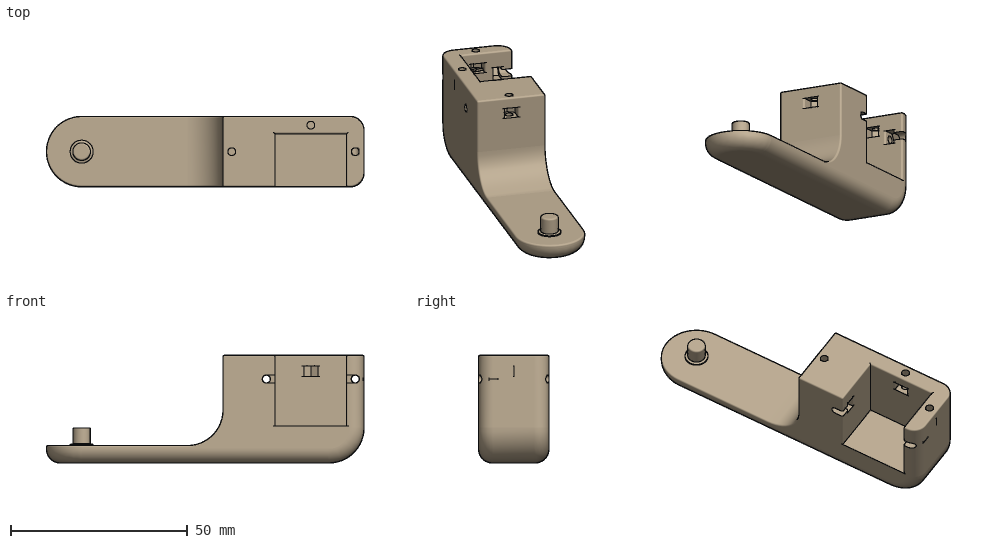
import cadquery as cq
import math

length = 90.0
width = 20.0
height = 30.55
arm_thickness = 5.0
block_start = 50.0
inner_bend_radius = 10.0
outer_bend_radius = 10.0
bottom_round = 4.0
edge_round = 0.5
side = width / 2
end_radius = side

peg_x = end_radius
peg_diameter = 5.0
peg_height = 5.0
collar_diameter = 6.5
collar_height = 0.3
collar_slope_height = 0.2

pocket_start = 64.8
pocket_end = 85.0
pocket_back = 5.0
pocket_depth = 20.05
pocket_length = pocket_end - pocket_start
pocket_middle = (pocket_start + pocket_end) / 2
pocket_floor = height - pocket_depth

screw_diameter = 2.2
screw_offset = 2.5
nut_across_flats = 4.0
nut_cover = 3.0
top_screw_depth = 7.0
top_nut_height = 3.0
top_nut_z = height - nut_cover - top_nut_height / 2
cover_nut_height = 2.5
cover_nut_y = -side + nut_cover + cover_nut_height / 2
cover_screw_drop = 6.75
cover_screw_z = height - cover_screw_drop

tolerance = 0.01


def make_body():
    """Side profile of arm and block, rounded at the arm's end and along the bottom."""
    bend_start = block_start - inner_bend_radius
    bend_top = arm_thickness + inner_bend_radius
    profile = (
        cq.Workplane("XZ")
        .lineTo(length - outer_bend_radius, 0)
        .radiusArc((length, outer_bend_radius), -outer_bend_radius)
        .lineTo(length, height)
        .lineTo(block_start, height)
        .lineTo(block_start, bend_top)
        .radiusArc((bend_start, arm_thickness), inner_bend_radius)
        .lineTo(0, arm_thickness)
        .close()
        .extrude(side, both=True)
    )
    plan = (
        cq.Workplane("XY")
        .moveTo(end_radius, -side)
        .lineTo(length, -side)
        .lineTo(length, side)
        .lineTo(end_radius, side)
        .threePointArc((0, 0), (end_radius, -side))
        .close()
        .extrude(height)
    )
    return profile.intersect(plan).faces("<Z").edges().fillet(bottom_round)


def cut_pocket(body):
    pocket = (
        cq.Workplane("XY")
        .box(pocket_length, pocket_back + side, pocket_depth, centered=False)
        .translate((pocket_start, -side, pocket_floor))
    )
    return body.cut(pocket)


def is_rim_edge(edge):
    """True for the top edges, the arm's upper outline and the pocket's upright front edges."""
    box = edge.BoundingBox()
    if box.zmin > height - tolerance:
        return True
    if box.zmin < arm_thickness - tolerance:
        return False
    if box.xmax < end_radius + tolerance:
        return True
    on_side = abs(edge.Center().y) > side - tolerance
    on_arm_or_bend = box.xmax < block_start + tolerance
    upright = box.xmax - box.xmin < tolerance
    at_pocket_wall = min(abs(box.xmin - pocket_start), abs(box.xmin - pocket_end)) < tolerance
    return on_side and (on_arm_or_bend or (upright and at_pocket_wall))


def round_rim(body):
    rim_edges = [edge for edge in body.edges().vals() if is_rim_edge(edge)]
    return body.newObject(rim_edges).fillet(edge_round)


def add_peg(body):
    """Peg standing on a thin round collar whose top slopes up to the peg."""
    base = cq.Workplane("XY", origin=(peg_x, 0, arm_thickness))
    collar = base.circle(collar_diameter / 2).extrude(collar_height)
    slope = (
        base.workplane(offset=collar_height)
        .circle(collar_diameter / 2)
        .workplane(offset=collar_slope_height)
        .circle(peg_diameter / 2)
        .loft()
    )
    peg = (
        base.circle(peg_diameter / 2)
        .extrude(peg_height)
        .faces(">Z")
        .edges()
        .fillet(edge_round)
    )
    return body.union(collar.union(slope)).union(peg)


def hexagon_nut(nut_height):
    """Nut-shaped prism with its axis along Z and two corners on the X axis."""
    corner_diameter = nut_across_flats / math.cos(math.pi / 6)
    return cq.Workplane("XY").polygon(6, corner_diameter).extrude(nut_height / 2, both=True)


def flared_passage(passage_width, passage_height):
    """Passage from the wall at -X to the screw axis; its sides round outwards at the mouth."""
    half = passage_width / 2
    mouth_half = half + edge_round
    mouth_x = -screw_offset
    throat_x = mouth_x + edge_round
    return (
        cq.Workplane("XY")
        .moveTo(0, -half)
        .lineTo(throat_x, -half)
        .radiusArc((mouth_x, -mouth_half), -edge_round)
        .lineTo(mouth_x, mouth_half)
        .radiusArc((throat_x, half), -edge_round)
        .lineTo(0, half)
        .close()
        .extrude(passage_height / 2, both=True)
    )


def cut_top_screws(body):
    """Vertical blind holes; each nut slides in from the wall beside its hole."""
    trap = hexagon_nut(top_nut_height).union(flared_passage(nut_across_flats, top_nut_height))
    for x, y, turn in (
        (block_start + screw_offset, 0, 0),
        (pocket_middle, pocket_back + screw_offset, 90),
        (pocket_end + screw_offset, 0, 0),
    ):
        hole = (
            cq.Workplane("XY", origin=(x, y, height - top_screw_depth))
            .circle(screw_diameter / 2)
            .extrude(top_screw_depth)
        )
        placed_trap = trap.rotate((0, 0, 0), (0, 0, 1), turn).translate((x, y, top_nut_z))
        body = body.cut(hole).cut(placed_trap)
    return body


def cut_cover_screws(body):
    """Through holes along Y beside the pocket, each with a slot and a nut trap open to it."""
    nut = hexagon_nut(cover_nut_height).rotate((0, 0, 0), (1, 0, 0), 90)
    trap = nut.union(flared_passage(cover_nut_height, nut_across_flats))
    slot_length = side + cover_nut_y
    slot = (
        cq.Workplane("XY")
        .box(screw_offset, slot_length, screw_diameter)
        .translate((-screw_offset / 2, -slot_length / 2, 0))
    )
    right_opening = trap.union(slot)
    left_opening = right_opening.mirror("YZ")
    for x, opening in (
        (pocket_start - screw_offset, left_opening),
        (pocket_end + screw_offset, right_opening),
    ):
        hole = (
            cq.Workplane("XZ", origin=(x, side, cover_screw_z))
            .circle(screw_diameter / 2)
            .extrude(width)
        )
        body = body.cut(hole).cut(opening.translate((x, cover_nut_y, cover_screw_z)))
    return body


result = make_body()
result = cut_pocket(result)
result = round_rim(result)
result = add_peg(result)
result = cut_top_screws(result)
result = cut_cover_screws(result).solids()